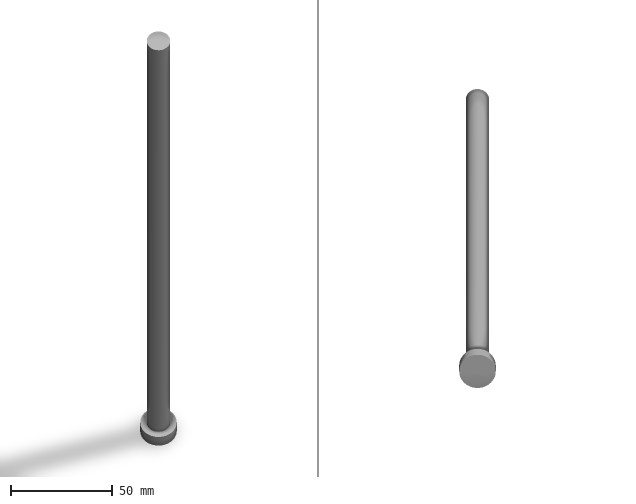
import cadquery as cq

total_length = 322.0
head_diameter = 18.0
head_height = 7.0
shank_diameter = 11.5

head = cq.Workplane("XY").circle(head_diameter / 2).extrude(head_height)
shank = cq.Workplane("XY").circle(shank_diameter / 2).extrude(total_length)

result = head.union(shank)